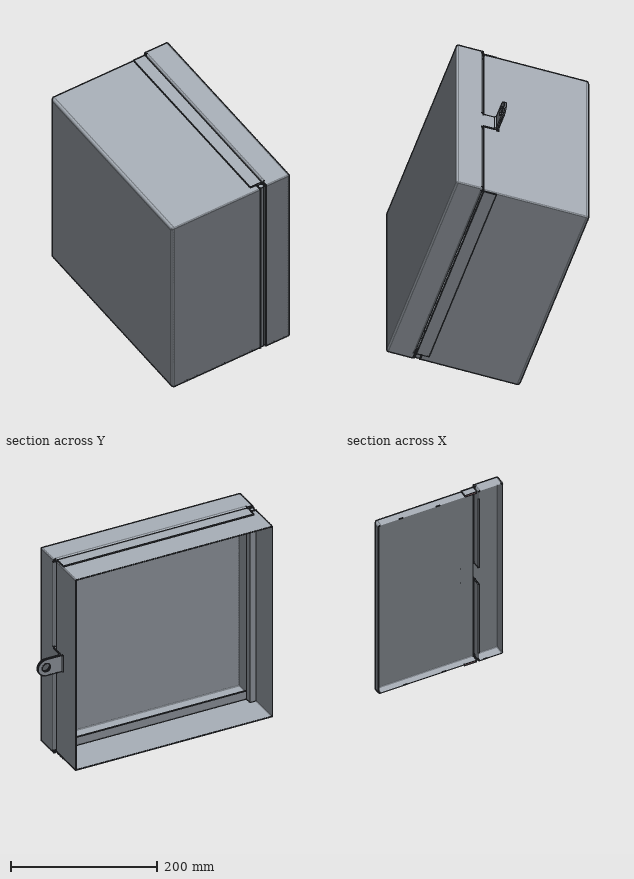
import cadquery as cq

SHEET = 1.845

OVERALL_WIDTH = 343.02
OVERALL_DEPTH = 191.97

BOX_SIZE = 304.8
BOX_DEPTH = 151.5
BOX_BEND = 4.2
CORNER_RADIUS = 1.4
INNER_CORNER_RADIUS = 0.4
NOTCH_WIDTH = 9.525
NOTCH_FLOOR = 142.875
STRIP_EDGE = 133.35

COVER_DEPTH = 38.1
COVER_OVERHANG = 3.2
COVER_BEND = 2.5
RETURN_WIDTH = 15.0
CORNER_RELIEF = 4.0

TAB_WIDTH = 25.4
TAB_JOINT = 133.9
TAB_HOLE_DIAMETER = 12.7
TAB_BEND = 1.9
TAB_RELIEF = 2.5

BARREL_DIAMETER = 7.1
LEAF = 1.5
LEAF_CLEARANCE = 1.0

BOX_RIGHT = BOX_SIZE / 2
BOX_LEFT = -BOX_RIGHT
BOX_TOP = BOX_SIZE / 2
COVER_LEFT = BOX_LEFT - COVER_OVERHANG
COVER_TOP = BOX_TOP + SHEET
COVER_EDGE = OVERALL_DEPTH - COVER_DEPTH
NOTCH_LEFT = BOX_RIGHT - NOTCH_WIDTH
TAB_TIP = BOX_RIGHT - OVERALL_WIDTH
TAB_HALF = TAB_WIDTH / 2


def block(x0, x1, y0, y1, z0, z1):
    """Block between two opposite corners."""
    return cq.Workplane("XY").box(x1 - x0, y1 - y0, z1 - z0, centered=False).translate((x0, y0, z0))


def tab_plate(root_x, y0):
    """Flat hasp tab with a round end and a padlock hole, one sheet thick from y0 toward +Y."""
    centre_x = TAB_TIP + TAB_HALF
    return (
        cq.Workplane("XZ", origin=(0, y0 + SHEET, 0))
        .moveTo(root_x, -TAB_HALF)
        .lineTo(centre_x, -TAB_HALF)
        .threePointArc((TAB_TIP, 0), (centre_x, TAB_HALF))
        .lineTo(root_x, TAB_HALF)
        .close()
        .moveTo(centre_x, 0)
        .circle(TAB_HOLE_DIAMETER / 2)
        .extrude(SHEET)
    )


def tab_bend(wall_x, tab_y, side):
    """Concave bend between a wall facing -X and a tab face at tab_y that looks to the given Y side."""
    return (
        cq.Workplane("XY", origin=(wall_x, tab_y, -TAB_HALF))
        .moveTo(0, side * TAB_BEND)
        .radiusArc((-TAB_BEND, 0), -side * TAB_BEND)
        .lineTo(0, 0)
        .close()
        .extrude(TAB_WIDTH)
    )


def box_solid(inset, corner_radius, bend):
    """Filled box shape, every side moved inward by the inset, with the corner left out for the hinge."""
    size = BOX_SIZE - 2 * inset
    solid = block(BOX_LEFT + inset, BOX_RIGHT - inset, inset, BOX_DEPTH, -size / 2, size / 2)
    solid = solid.edges("|Y").fillet(corner_radius).faces("<Y").edges().fillet(bend)
    notch = block(NOTCH_LEFT - inset, BOX_RIGHT, NOTCH_FLOOR - inset, BOX_DEPTH, -BOX_TOP, BOX_TOP)
    return solid.cut(notch)


def make_box():
    """Folded box with its drip strips and hasp tab."""
    box = box_solid(0, CORNER_RADIUS, BOX_BEND)
    box = box.cut(box_solid(SHEET, INNER_CORNER_RADIUS, BOX_BEND - SHEET))

    for z0 in (BOX_TOP, -COVER_TOP):
        box = box.union(block(BOX_LEFT + CORNER_RADIUS, NOTCH_LEFT, STRIP_EDGE, BOX_DEPTH, z0, z0 + SHEET))

    tab_front = TAB_JOINT - SHEET
    box = box.union(tab_plate(BOX_LEFT + SHEET, tab_front))
    return box.union(tab_bend(BOX_LEFT, tab_front, -1))


def cover_solid(inset, corner_radius, bend):
    """Filled cover shape, every side moved inward by the inset."""
    top = COVER_TOP - inset
    solid = block(COVER_LEFT + inset, BOX_RIGHT - inset, COVER_EDGE, OVERALL_DEPTH - inset, -top, top)
    return solid.edges("|Y").fillet(corner_radius).faces(">Y").edges().fillet(bend)


def bend_in(cover, corner, inward, length):
    """Bend the cover edge inward along a wall, from a corner on its outer face, into a return flange."""
    inward = cq.Vector(*inward)
    along = inward.cross(cq.Vector(0, 1, 0))
    section = cq.Workplane(cq.Plane(origin=corner, xDir=inward, normal=along))
    square_edge = section.rect(COVER_BEND, COVER_BEND, centered=False).extrude(length)
    flange = (
        section.moveTo(0, COVER_BEND)
        .radiusArc((COVER_BEND, 0), -COVER_BEND)
        .lineTo(RETURN_WIDTH, 0)
        .lineTo(RETURN_WIDTH, SHEET)
        .lineTo(COVER_BEND, SHEET)
        .radiusArc((SHEET, COVER_BEND), COVER_BEND - SHEET)
        .close()
        .extrude(length)
    )
    return cover.cut(square_edge).union(flange)


def make_cover():
    """Folded cover with its return flanges and hasp tab."""
    cover = cover_solid(0, CORNER_RADIUS, COVER_BEND)
    cover = cover.cut(cover_solid(SHEET, INNER_CORNER_RADIUS, COVER_BEND - SHEET))

    flange_left = COVER_LEFT + CORNER_RELIEF
    flange_top = COVER_TOP - CORNER_RELIEF
    width = NOTCH_LEFT - flange_left
    cover = bend_in(cover, (flange_left, COVER_EDGE, COVER_TOP), (0, 0, -1), width)
    cover = bend_in(cover, (NOTCH_LEFT, COVER_EDGE, -COVER_TOP), (0, 0, 1), width)
    flange_end = TAB_HALF + TAB_RELIEF
    half_height = flange_top - flange_end
    for start in (-flange_top, flange_end):
        cover = bend_in(cover, (COVER_LEFT, COVER_EDGE, start), (1, 0, 0), half_height)

    cover = cover.union(block(COVER_LEFT, COVER_LEFT + SHEET, TAB_JOINT, COVER_EDGE, -TAB_HALF, TAB_HALF))
    cover = cover.union(tab_plate(COVER_LEFT + SHEET, TAB_JOINT))
    cover = cover.union(tab_bend(COVER_LEFT, TAB_JOINT + SHEET, 1))
    outer_corner = cover.edges(cq.selectors.NearestToPointSelector((COVER_LEFT + SHEET, TAB_JOINT, 0)))
    return outer_corner.fillet(TAB_BEND + SHEET)


def make_hinge():
    """Barrel along Z between a leaf on the notch floor and a leaf facing the cover."""
    leaf_end = COVER_EDGE - LEAF_CLEARANCE
    centre_y = (NOTCH_FLOOR + leaf_end) / 2
    centre_x = (NOTCH_LEFT + BOX_RIGHT) / 2
    axis = cq.Workplane("XY", origin=(centre_x, centre_y, -BOX_TOP))
    hinge = axis.circle(BARREL_DIAMETER / 2).extrude(BOX_SIZE)
    for y0 in (NOTCH_FLOOR, leaf_end - LEAF):
        hinge = hinge.union(block(NOTCH_LEFT, BOX_RIGHT, y0, y0 + LEAF, -BOX_TOP, BOX_TOP))
    return hinge


box = make_box()
cover = make_cover()
hinge = make_hinge()
result = cq.Compound.makeCompound([box.val(), cover.val(), hinge.val()])